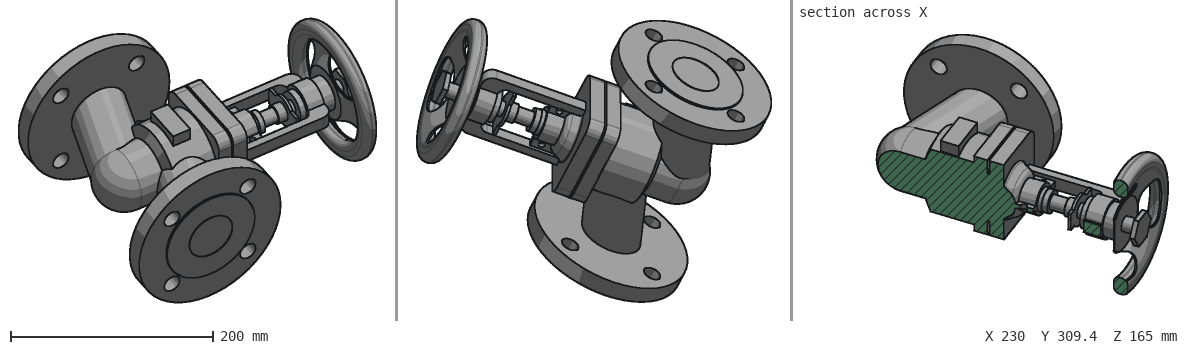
import cadquery as cq
import math


FLANGE_FACE_X = 115.0
FLANGE_DIAMETER = 165.0
FLANGE_THICKNESS = 18.0
RAISED_FACE_DIAMETER = 102.0
RAISED_FACE_HEIGHT = 2.0
FLANGE_BACK_X = FLANGE_FACE_X - RAISED_FACE_HEIGHT - FLANGE_THICKNESS
BOLT_CIRCLE_DIAMETER = 125.0
BOLT_HOLE_DIAMETER = 18.0
BOLT_HOLE_COUNT = 4
PORT_DIAMETER = 50.0
PORT_DEPTH = 0.5

PIPE_DIAMETER = 60.3
PIPE_RISE = 31.0
PIPE_START_INSET = 10.0

NECK_RADIUS = 32.8
NECK_END_Y = -29.8
BODY_RADIUS = 45.0
BODY_BOTTOM_Y = 3.6
CONE_BOTTOM_Y = -2.1

SQUARE_FLANGE_SIZE = 94.0
SQUARE_FLANGE_CORNER_RADIUS = 12.5
BODY_FLANGE_BOTTOM_Y = 51.5
BODY_FLANGE_THICKNESS = 15.0
GASKET_RADIUS = 37.0
GASKET_THICKNESS = 2.0
BONNET_FLANGE_THICKNESS = 16.0
GASKET_BOTTOM_Y = BODY_FLANGE_BOTTOM_Y + BODY_FLANGE_THICKNESS
BONNET_FLANGE_BOTTOM_Y = GASKET_BOTTOM_Y + GASKET_THICKNESS
BONNET_TOP_Y = BONNET_FLANGE_BOTTOM_Y + BONNET_FLANGE_THICKNESS

PAD_WIDTH = 42.0
PAD_HEIGHT = 20.0
PAD_CENTER_Y = 24.5
PAD_FACE_Z = 53.0

DOME_BASE_RADIUS = 30.5
DOME_FLARE_RADIUS = 2.0
DOME_CONE_BOTTOM_RADIUS = 29.2
DOME_CONE_BOTTOM_Y = 86.0
DOME_CONE_TOP_RADIUS = 25.2
DOME_CONE_TOP_Y = 93.5
DOME_SHOULDER_RADIUS = 9.0
DOME_TOP_RADIUS = 17.2
DOME_TOP_Y = 98.4

BOX_RADIUS = 17.0
BOX_TOP_Y = 117.0
GLAND_RADIUS = 13.0
GLAND_TOP_Y = 121.3
GLAND_NUT_RADIUS = 12.2
GLAND_NUT_TOP_Y = 127.5
STEM_RADIUS = 8.0
COLLAR_RADIUS = 10.0
COLLAR_BOTTOM_Y = 145.0
GUIDE_BOTTOM_Y = 155.0
GUIDE_THICKNESS = 3.2
GUIDE_RADIUS = 17.0
GUIDE_LENGTH = 51.0
GUIDE_WIDTH = 20.0

YOKE_TOP_Y = 191.5
YOKE_HALF_WIDTH = 36.0
YOKE_LEG_WIDTH = 8.5
YOKE_THICKNESS = 15.0
YOKE_OUTER_RADIUS = 11.0
YOKE_INNER_RADIUS = 9.0
YOKE_BOSS_RADIUS = 21.0
YOKE_BOSS_HEIGHT = 19.0
YOKE_BOSS_BOTTOM_Y = YOKE_TOP_Y - YOKE_BOSS_HEIGHT
YOKE_INNER_HALF_WIDTH = YOKE_HALF_WIDTH - YOKE_LEG_WIDTH
BUSHING_RADIUS = 16.8
BUSHING_BOTTOM_Y = 165.6
WEB_THICKNESS = 6.0
WEB_HOLE_DIAMETER = 6.5
WEB_HOLE_X = 21.7
WEB_HOLE_Y = 106.6

WHEEL_RADIUS = 75.0
RIM_WIDTH = 20.0
RIM_HEIGHT = 16.0
RIM_ROUNDING = 7.3
RIM_BOTTOM_Y = 205.0
RIM_INNER_RADIUS = WHEEL_RADIUS - RIM_WIDTH
RIM_TOP_Y = RIM_BOTTOM_Y + RIM_HEIGHT
HUB_RADIUS = 29.0
HUB_NECK_RADIUS = 18.6
WHEEL_WEB_OUTER_RADIUS = 61.0
WHEEL_WEB_TOP_Y = 220.8
WHEEL_WEB_THICKNESS = 2.0
WHEEL_DISH_RADIUS = 65.0
WHEEL_OPENING_COUNT = 3
HUB_LAND = 0.3
WHEEL_OPENING_INNER_EDGE = HUB_RADIUS + HUB_LAND
WHEEL_OPENING_OUTER_RADIUS = 56.5
WHEEL_OPENING_ROUNDING = 12.0

NUT_TOP_Y = 226.85
NUT_HEIGHT = 5.35
NUT_SIDES = 6
NUT_ACROSS_FLATS = 32.0


def plane_at(y):
    """Work plane across the stem axis; local axes are X and Z, extruding towards -Y."""
    return cq.Workplane("XZ", origin=(0, y, 0))


def disc(radius, bottom_y, top_y):
    """Cylinder on the stem axis."""
    return plane_at(top_y).circle(radius).extrude(top_y - bottom_y)


def revolve_about_stem(profile):
    """Revolve a closed (radius, y) profile about the stem axis."""
    return profile.revolve(360, (0, 0, 0), (0, 1, 0))


def pipe_flange(side):
    """Flange with raised face; side is -1 or +1 along X."""
    flange = (
        cq.Workplane("YZ", origin=(FLANGE_BACK_X, 0, 0))
        .circle(FLANGE_DIAMETER / 2)
        .extrude(FLANGE_THICKNESS)
        .faces(">X")
        .workplane()
        .circle(RAISED_FACE_DIAMETER / 2)
        .extrude(RAISED_FACE_HEIGHT)
    )
    first_hole_angle = 180 / BOLT_HOLE_COUNT
    holes = (
        cq.Workplane("YZ", origin=(FLANGE_BACK_X, 0, 0))
        .polarArray(BOLT_CIRCLE_DIAMETER / 2, first_hole_angle, 360, BOLT_HOLE_COUNT)
        .circle(BOLT_HOLE_DIAMETER / 2)
        .extrude(FLANGE_THICKNESS)
    )
    port = (
        cq.Workplane("YZ", origin=(FLANGE_FACE_X, 0, 0))
        .circle(PORT_DIAMETER / 2)
        .extrude(-PORT_DEPTH)
    )
    flange = flange.cut(holes).cut(port)
    return flange if side > 0 else flange.mirror("YZ")


def pipe(side):
    """Inclined pipe from a flange to the stem axis, falling on -X and rising on +X."""
    start_x = FLANGE_BACK_X + PIPE_START_INSET
    slope = PIPE_RISE / FLANGE_BACK_X
    start = cq.Vector(side * start_x, -side * PIPE_START_INSET * slope, 0)
    end = cq.Vector(0, side * PIPE_RISE, 0)
    run = end - start
    end_plane = cq.Plane(origin=start, xDir=(0, 0, 1), normal=run)
    return cq.Workplane(end_plane).circle(PIPE_DIAMETER / 2).extrude(run.Length)


def body():
    """Round-ended neck, cone and cylindrical body on the stem axis."""
    profile = (
        cq.Workplane("XY")
        .moveTo(0, NECK_END_Y - NECK_RADIUS)
        .radiusArc((NECK_RADIUS, NECK_END_Y), -NECK_RADIUS)
        .lineTo(NECK_RADIUS, CONE_BOTTOM_Y)
        .lineTo(BODY_RADIUS, BODY_BOTTOM_Y)
        .lineTo(BODY_RADIUS, BODY_FLANGE_BOTTOM_Y)
        .lineTo(0, BODY_FLANGE_BOTTOM_Y)
        .close()
    )
    return revolve_about_stem(profile)


def square_flange(bottom_y, thickness):
    """Square plate with rounded corners across the stem axis."""
    return (
        plane_at(bottom_y + thickness)
        .rect(SQUARE_FLANGE_SIZE, SQUARE_FLANGE_SIZE)
        .extrude(thickness)
        .edges("|Y")
        .fillet(SQUARE_FLANGE_CORNER_RADIUS)
    )


def name_pad():
    """Flat rectangular pad standing on the +Z side of the body."""
    return (
        cq.Workplane("XY")
        .center(0, PAD_CENTER_Y)
        .rect(PAD_WIDTH, PAD_HEIGHT)
        .extrude(PAD_FACE_Z)
    )


def dome():
    """Bonnet dome: flared foot, cone and rounded shoulder."""
    profile = (
        cq.Workplane("XY")
        .moveTo(0, BONNET_TOP_Y)
        .lineTo(DOME_BASE_RADIUS, BONNET_TOP_Y)
        .radiusArc((DOME_CONE_BOTTOM_RADIUS, DOME_CONE_BOTTOM_Y), DOME_FLARE_RADIUS)
        .lineTo(DOME_CONE_TOP_RADIUS, DOME_CONE_TOP_Y)
        .radiusArc((DOME_TOP_RADIUS, DOME_TOP_Y), -DOME_SHOULDER_RADIUS)
        .lineTo(0, DOME_TOP_Y)
        .close()
    )
    return revolve_about_stem(profile)


def stem_parts():
    """Stuffing box, gland, stem, collar and bushing stacked along the stem axis."""
    return [
        disc(BOX_RADIUS, BONNET_TOP_Y, BOX_TOP_Y),
        disc(GLAND_RADIUS, BOX_TOP_Y, GLAND_TOP_Y),
        disc(GLAND_NUT_RADIUS, GLAND_TOP_Y, GLAND_NUT_TOP_Y),
        disc(STEM_RADIUS, BONNET_TOP_Y, NUT_TOP_Y),
        disc(COLLAR_RADIUS, COLLAR_BOTTOM_Y, GUIDE_BOTTOM_Y),
        disc(BUSHING_RADIUS, BUSHING_BOTTOM_Y, YOKE_TOP_Y),
    ]


def guide_plate():
    """Round anti-rotation plate with a straight wing towards each yoke leg."""
    top_y = GUIDE_BOTTOM_Y + GUIDE_THICKNESS
    wings = plane_at(top_y).rect(GUIDE_LENGTH, GUIDE_WIDTH).extrude(GUIDE_THICKNESS)
    return disc(GUIDE_RADIUS, GUIDE_BOTTOM_Y, top_y).union(wings)


def yoke():
    """Portal frame with a round boss on the stem axis."""
    height = YOKE_TOP_Y - BONNET_TOP_Y
    window_height = YOKE_BOSS_BOTTOM_Y - BONNET_TOP_Y
    frame = (
        cq.Workplane("XY", origin=(0, BONNET_TOP_Y + height / 2, 0))
        .box(2 * YOKE_HALF_WIDTH, height, YOKE_THICKNESS)
        .edges("|Z and >Y")
        .fillet(YOKE_OUTER_RADIUS)
    )
    window = (
        cq.Workplane("XY", origin=(0, BONNET_TOP_Y + window_height / 2, 0))
        .box(2 * YOKE_INNER_HALF_WIDTH, window_height, YOKE_THICKNESS)
        .edges("|Z and >Y")
        .fillet(YOKE_INNER_RADIUS)
    )
    return frame.cut(window).union(disc(YOKE_BOSS_RADIUS, YOKE_BOSS_BOTTOM_Y, YOKE_TOP_Y))


def yoke_web():
    """Thin plate joining the yoke legs to the stuffing box, with one hole each side."""
    height = BOX_TOP_Y - BONNET_TOP_Y
    plate = (
        cq.Workplane("XY", origin=(0, BONNET_TOP_Y + height / 2, 0))
        .box(2 * YOKE_INNER_HALF_WIDTH, height, WEB_THICKNESS)
    )
    holes = (
        cq.Workplane("XY")
        .pushPoints([(-WEB_HOLE_X, WEB_HOLE_Y), (WEB_HOLE_X, WEB_HOLE_Y)])
        .circle(WEB_HOLE_DIAMETER / 2)
        .extrude(WEB_THICKNESS / 2, both=True)
    )
    return plate.cut(holes)


def wheel_rim():
    """Handwheel ring with rounded edges."""
    return (
        disc(WHEEL_RADIUS, RIM_BOTTOM_Y, RIM_TOP_Y)
        .cut(disc(RIM_INNER_RADIUS, RIM_BOTTOM_Y, RIM_TOP_Y))
        .edges("%CIRCLE")
        .fillet(RIM_ROUNDING)
    )


def wheel_opening():
    """Circle segment with rounded corners, on the +X side of the hub."""
    segment = disc(WHEEL_OPENING_OUTER_RADIUS, RIM_BOTTOM_Y, RIM_TOP_Y)
    hub_side = (
        plane_at(RIM_TOP_Y)
        .center(WHEEL_OPENING_INNER_EDGE - WHEEL_RADIUS, 0)
        .rect(2 * WHEEL_RADIUS, 2 * WHEEL_RADIUS)
        .extrude(RIM_HEIGHT)
    )
    return segment.cut(hub_side).edges("|Y").fillet(WHEEL_OPENING_ROUNDING)


def wheel_centre():
    """Dished web, thin and concave, with three openings that leave three spokes."""
    hub_back_y = RIM_BOTTOM_Y + WHEEL_WEB_THICKNESS
    web_front_y = WHEEL_WEB_TOP_Y - WHEEL_WEB_THICKNESS
    profile = (
        cq.Workplane("XY")
        .moveTo(0, RIM_BOTTOM_Y)
        .lineTo(HUB_RADIUS, RIM_BOTTOM_Y)
        .radiusArc((WHEEL_WEB_OUTER_RADIUS, web_front_y), WHEEL_DISH_RADIUS)
        .lineTo(WHEEL_WEB_OUTER_RADIUS, WHEEL_WEB_TOP_Y)
        .radiusArc((HUB_RADIUS, hub_back_y), -WHEEL_DISH_RADIUS)
        .lineTo(0, hub_back_y)
        .close()
    )
    centre = revolve_about_stem(profile)
    opening = wheel_opening()
    pitch = 360 / WHEEL_OPENING_COUNT
    for index in range(WHEEL_OPENING_COUNT):
        angle = pitch / 2 + index * pitch
        centre = centre.cut(opening.rotate((0, 0, 0), (0, 1, 0), angle))
    return centre


def wheel_nut():
    """Hexagon nut at the end of the stem, one corner towards +X."""
    across_corners = NUT_ACROSS_FLATS / math.cos(math.pi / NUT_SIDES)
    return plane_at(NUT_TOP_Y).polygon(NUT_SIDES, across_corners).extrude(NUT_HEIGHT)


parts = [body(), name_pad()]
for side in (-1, 1):
    parts.append(pipe_flange(side))
    parts.append(pipe(side))
parts += [
    square_flange(BODY_FLANGE_BOTTOM_Y, BODY_FLANGE_THICKNESS),
    disc(GASKET_RADIUS, GASKET_BOTTOM_Y, BONNET_FLANGE_BOTTOM_Y),
    square_flange(BONNET_FLANGE_BOTTOM_Y, BONNET_FLANGE_THICKNESS),
    dome(),
    yoke_web(),
    *stem_parts(),
    guide_plate(),
    yoke(),
    disc(HUB_NECK_RADIUS, YOKE_TOP_Y, RIM_BOTTOM_Y),
    wheel_centre(),
    wheel_rim(),
    wheel_nut(),
]

result = parts[0]
for part in parts[1:]:
    result = result.union(part)